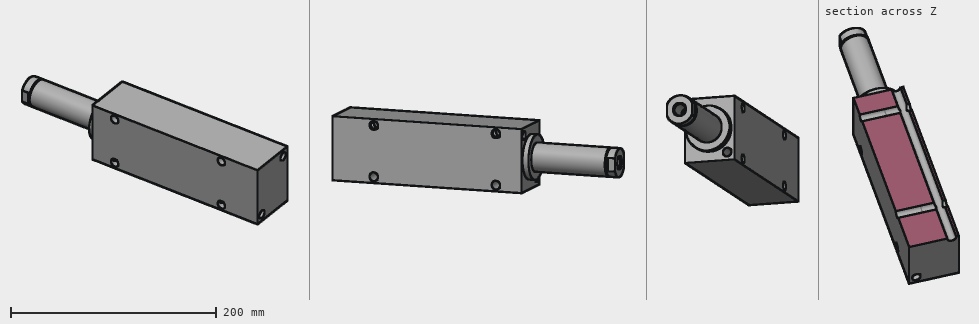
import cadquery as cq

total_length = 289.2
body_start = 92.5
body_width = 51.0
body_height = 63.5
collar_thickness = 6.0
collar_diameter = 44.8

rod_diameter = 29.0
tip_length = 9.3
groove_width = 1.0
groove_depth = 0.3
tip_chamfer_length = 1.2
tip_chamfer_depth = 0.3
flat_length = 7.2
across_flats = 25.7

bore_diameter = 11.5
bore_depth = 23.0
bore_chamfer_depth = 1.0
bore_chamfer_length = 1.7

hole_diameter = 8.7
cross_hole_positions_x = (119.0, 246.0)
cross_hole_offset_z = 25.5
long_hole_offset_y = 18.0
long_hole_offset_z = 24.0

body_length = total_length - body_start
collar_start = body_start - collar_thickness


def make_body():
    return cq.Workplane("YZ", origin=(body_start, 0, 0)).rect(body_width, body_height).extrude(body_length)


def make_collar():
    return cq.Workplane("YZ", origin=(collar_start, 0, 0)).circle(collar_diameter / 2).extrude(collar_thickness)


def make_rod():
    """Revolve the rod with its chamfered tip and shallow ring groove."""
    rod_radius = rod_diameter / 2
    groove_radius = rod_radius - groove_depth
    groove_end = tip_length + groove_width
    profile = [
        (0, 0),
        (0, rod_radius - tip_chamfer_depth),
        (tip_chamfer_length, rod_radius),
        (tip_length, rod_radius),
        (tip_length, groove_radius),
        (groove_end, groove_radius),
        (groove_end, rod_radius),
        (body_start, rod_radius),
        (body_start, 0),
    ]
    return cq.Workplane("XY").polyline(profile).close().revolve(360, (0, 0, 0), (1, 0, 0))


def make_flat_cutter(side):
    """Wrench flat ending in a 45 degree run-out; side is +1 or -1 along Y."""
    flat_y = across_flats / 2
    clear_y = rod_diameter
    profile = [
        (0, side * flat_y),
        (flat_length, side * flat_y),
        (flat_length + clear_y - flat_y, side * clear_y),
        (0, side * clear_y),
    ]
    return cq.Workplane("XY").polyline(profile).close().extrude(rod_diameter / 2, both=True)


def make_bore():
    """Blind bore with a countersunk mouth."""
    bore_radius = bore_diameter / 2
    profile = [
        (0, 0),
        (0, bore_radius + bore_chamfer_depth),
        (bore_chamfer_length, bore_radius),
        (bore_depth, bore_radius),
        (bore_depth, 0),
    ]
    return cq.Workplane("XY").polyline(profile).close().revolve(360, (0, 0, 0), (1, 0, 0))


def make_cross_holes():
    centers = [(x, side * cross_hole_offset_z) for x in cross_hole_positions_x for side in (-1, 1)]
    return cq.Workplane("XZ").pushPoints(centers).circle(hole_diameter / 2).extrude(body_width, both=True)


def make_long_holes():
    centers = [(side * long_hole_offset_y, side * long_hole_offset_z) for side in (-1, 1)]
    plane = cq.Workplane("YZ", origin=(body_start, 0, 0))
    return plane.pushPoints(centers).circle(hole_diameter / 2).extrude(body_length)


result = make_body().union(make_collar()).union(make_rod())
for flat_side in (-1, 1):
    result = result.cut(make_flat_cutter(flat_side))
result = result.cut(make_bore()).cut(make_cross_holes()).cut(make_long_holes())